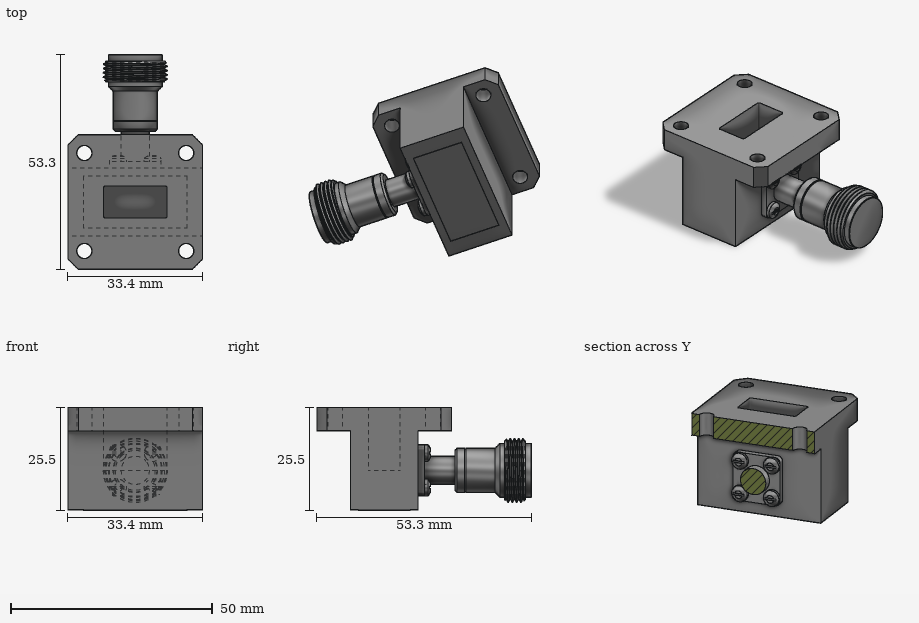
import cadquery as cq


flange_side = 33.38
flange_thickness = 5.84
flange_corner_cut = 2.55
hole_diameter = 3.7
hole_spacing_x = 25.25
hole_spacing_y = 24.28

body_depth_y = 16.83
body_bottom_z = -25.4
overall_height = 25.53

connector_z = -15.6
guide_width = 15.8
guide_height = 7.9
guide_corner_radius = 0.5
guide_depth = -connector_z

label_length_x = 25.6
label_width_y = 12.8
label_thickness = overall_height + body_bottom_z

plate_side = 12.7
plate_thickness = 1.6
plate_corner_radius = 1.3
body_face_y = body_depth_y / 2
plate_face_y = body_face_y + plate_thickness
screw_spacing = 8.6
screw_head_diameter = 4.2
screw_head_rim = 0.8
screw_head_height = 1.47
screw_tip_diameter = 2.0
screw_dome_bulge = 0.08
screw_slot_width = 0.5
screw_slot_depth = 0.2

neck_radius = 3.5
barrel_radius = 5.5
collar_radius = 6.7
barrel_start_y = 17.5
barrel_edge_cut = 0.55
groove_start_y = 19.95
groove_width = 0.3
groove_depth = 0.15
cone_start_y = 27.47
connector_end_y = 36.57
collar_edge_cut = 0.15

thread_pitch = 25.4 / 24
thread_crest_radius = 7.95
thread_root_radius = 7.25
thread_start_y = 29.8
thread_end_y = 35.0
thread_crest_flat = 0.12
thread_root_flat = 0.2
thread_overlap = 0.1
thread_phase_y = 0.4


def make_flange():
    holes = (
        cq.Workplane("XY")
        .rect(hole_spacing_x, hole_spacing_y, forConstruction=True)
        .vertices()
        .circle(hole_diameter / 2)
        .extrude(-flange_thickness)
    )
    return (
        cq.Workplane("XY")
        .rect(flange_side, flange_side)
        .extrude(-flange_thickness)
        .edges("|Z")
        .chamfer(flange_corner_cut)
        .cut(holes)
    )


def make_body():
    block = cq.Workplane("XY").rect(flange_side, body_depth_y).extrude(body_bottom_z)
    label = (
        cq.Workplane("XY")
        .workplane(offset=body_bottom_z)
        .rect(label_length_x, label_width_y)
        .extrude(-label_thickness)
    )
    return block.union(label)


def make_guide_opening():
    return (
        cq.Workplane("XY")
        .rect(guide_width, guide_height)
        .extrude(-guide_depth)
        .edges("|Z")
        .fillet(guide_corner_radius)
    )


def make_mounting_plate():
    return (
        cq.Workplane("XY")
        .workplane(offset=body_face_y)
        .rect(plate_side, plate_side)
        .extrude(plate_thickness)
        .edges("|Z")
        .fillet(plate_corner_radius)
    )


def make_screw_head():
    rim_radius = screw_head_diameter / 2
    tip_radius = screw_tip_diameter / 2
    head = (
        cq.Workplane("XZ")
        .lineTo(rim_radius, 0)
        .lineTo(rim_radius, screw_head_rim)
        .sagittaArc((tip_radius, screw_head_height), -screw_dome_bulge)
        .lineTo(0, screw_head_height)
        .close()
        .revolve(360, (0, 0), (0, 1))
    )
    slot = (
        cq.Workplane("XY")
        .workplane(offset=screw_head_height)
        .rect(screw_head_diameter, screw_slot_width)
        .extrude(-screw_slot_depth)
    )
    return head.cut(slot)


def make_turned_connector():
    groove_end_y = groove_start_y + groove_width
    groove_radius = barrel_radius - groove_depth
    cone_end_y = cone_start_y + collar_radius - barrel_radius
    profile = [
        (0, body_face_y),
        (neck_radius, body_face_y),
        (neck_radius, barrel_start_y),
        (barrel_radius - barrel_edge_cut, barrel_start_y),
        (barrel_radius, barrel_start_y + barrel_edge_cut),
        (barrel_radius, groove_start_y),
        (groove_radius, groove_start_y),
        (groove_radius, groove_end_y),
        (barrel_radius, groove_end_y),
        (barrel_radius, cone_start_y),
        (collar_radius, cone_end_y),
        (collar_radius, thread_start_y),
        (thread_root_radius, thread_start_y),
        (thread_root_radius, thread_end_y),
        (collar_radius, thread_end_y),
        (collar_radius, connector_end_y - collar_edge_cut),
        (collar_radius - collar_edge_cut, connector_end_y),
        (0, connector_end_y),
    ]
    return cq.Workplane("XZ").polyline(profile).close().revolve(360, (0, 0), (0, 1))


def make_thread_ridge():
    helix_start = thread_start_y - thread_pitch - thread_phase_y
    helix_length = thread_end_y - thread_start_y + 2 * thread_pitch + thread_phase_y
    foot_radius = thread_root_radius - thread_overlap
    crest_half_width = thread_crest_flat / 2
    root_half_width = (thread_pitch - thread_root_flat) / 2
    flank_slope = (root_half_width - crest_half_width) / (thread_crest_radius - thread_root_radius)
    foot_half_width = root_half_width + thread_overlap * flank_slope
    helix = cq.Wire.makeHelix(thread_pitch, helix_length, foot_radius)
    ridge = (
        cq.Workplane("XZ")
        .polyline(
            [
                (foot_radius, -foot_half_width),
                (thread_crest_radius, -crest_half_width),
                (thread_crest_radius, crest_half_width),
                (foot_radius, foot_half_width),
            ]
        )
        .close()
        .sweep(cq.Workplane(helix), isFrenet=True)
        .translate((0, 0, helix_start))
    )
    envelope = (
        cq.Workplane("XY")
        .workplane(offset=thread_start_y)
        .circle(thread_crest_radius + thread_overlap)
        .extrude(thread_end_y - thread_start_y)
        .faces("<Z or >Z")
        .chamfer(thread_crest_radius + thread_overlap - thread_root_radius)
    )
    return ridge.intersect(envelope)


def make_connector():
    connector = make_mounting_plate().union(make_turned_connector()).union(make_thread_ridge())
    for side_x in (-1, 1):
        for side_y in (-1, 1):
            place = (side_x * screw_spacing / 2, side_y * screw_spacing / 2, plate_face_y)
            connector = connector.union(make_screw_head().translate(place))
    return connector.rotate((0, 0, 0), (1, 0, 0), -90).translate((0, 0, connector_z))


result = make_flange().union(make_body()).cut(make_guide_opening()).union(make_connector())